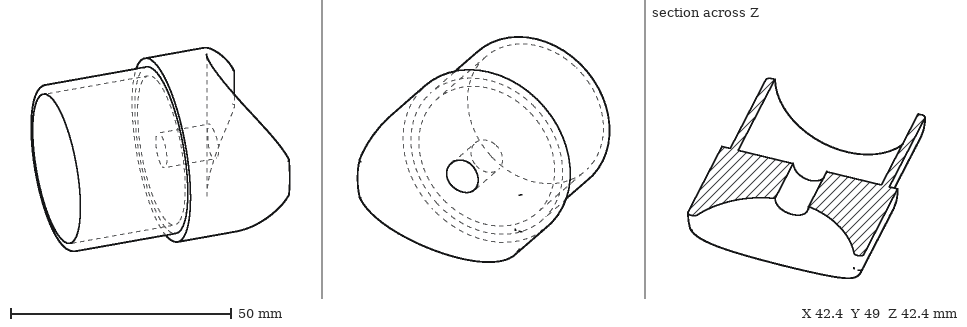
import cadquery as cq

total_length = 49.0
head_diameter = 42.4
spigot_diameter = 38.4
spigot_length = 25.0
bore_diameter = 34.4
bore_depth = spigot_length
drain_diameter = 8.0
saddle_radius = head_diameter / 2
saddle_floor = 37.0
edge_radius = 1.0


def cylinder_along_y(diameter, start, length):
    """Cylinder on the part's axis, from Y = start towards +Y."""
    plane = cq.Workplane("XZ", origin=(0, start, 0))
    return plane.circle(diameter / 2).extrude(-length)


head = cylinder_along_y(head_diameter, spigot_length, total_length - spigot_length)
saddle = (
    cq.Workplane("XY")
    .center(0, saddle_floor + saddle_radius)
    .circle(saddle_radius)
    .extrude(head_diameter / 2, both=True)
)
head = head.cut(saddle)
head = head.faces("not <Y").edges("not <Y").fillet(edge_radius)

spigot = cylinder_along_y(spigot_diameter, 0, spigot_length)
spigot = spigot.faces("<Y").edges().fillet(edge_radius)

bore = cylinder_along_y(bore_diameter, 0, bore_depth)
drain = cylinder_along_y(drain_diameter, 0, total_length)

result = head.union(spigot).cut(bore).cut(drain)